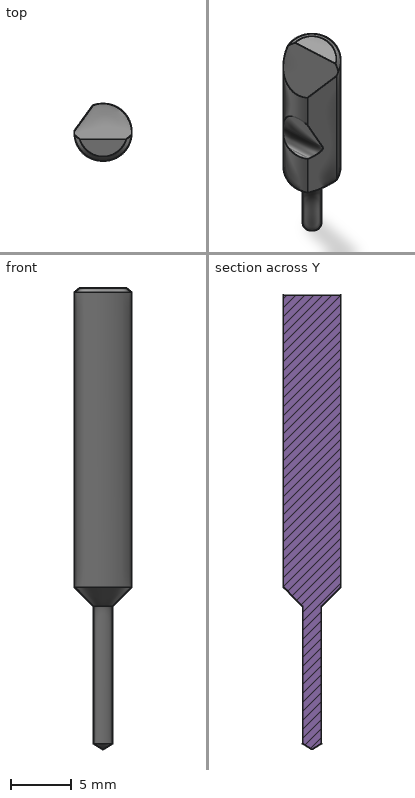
import cadquery as cq
import math

length = 38.1
shank_radius = 4.75 / 2
pin_radius = 1.6 / 2
tip_height = 0.5
shank_bottom = 13.4
cone_height = shank_radius - pin_radius
top_chamfer = 0.4

bevel_start_y = -0.57

flat_distance = 2.0
flat_angle = 144.0

notch_bottom = 21.15
notch_top = 29.85
notch_corner_radius = 1.03
ramp_angle = 9.6

clearance = 1.9
cutter_width = 2 * (shank_radius + clearance)


def turned_body():
    return (
        cq.Workplane("XZ")
        .moveTo(0, 0)
        .lineTo(pin_radius, tip_height)
        .lineTo(pin_radius, shank_bottom - cone_height)
        .lineTo(shank_radius, shank_bottom)
        .lineTo(shank_radius, length - top_chamfer)
        .lineTo(shank_radius - top_chamfer, length)
        .lineTo(0, length)
        .close()
        .revolve(360, (0, 0, 0), (0, 1, 0))
    )


def top_bevel():
    outer_y = shank_radius + clearance
    outer_z = length - (outer_y - bevel_start_y)
    return (
        cq.Workplane("YZ")
        .moveTo(bevel_start_y, length)
        .lineTo(outer_y, length)
        .lineTo(outer_y, outer_z)
        .close()
        .extrude(cutter_width / 2, both=True)
    )


def side_flat():
    return (
        cq.Workplane("XY")
        .box(clearance, cutter_width, length, centered=(False, True, False))
        .translate((flat_distance, 0, 0))
        .rotate((0, 0, 0), (0, 0, 1), flat_angle)
    )


def side_notch():
    ramp = math.radians(ramp_angle)
    radius = notch_corner_radius
    center_z = notch_bottom + radius
    tangent_z = center_z + radius * math.sin(ramp)
    tangent_y = shank_radius - (notch_top - tangent_z) * math.tan(ramp)
    center_y = tangent_y + radius * math.cos(ramp)
    middle_angle = (math.pi / 2 - ramp) / 2
    arc_middle = (
        center_y - radius * math.cos(middle_angle),
        center_z - radius * math.sin(middle_angle),
    )
    outer_y = shank_radius + clearance
    outer_z = notch_top + clearance / math.tan(ramp)
    return (
        cq.Workplane("YZ")
        .moveTo(outer_y, outer_z)
        .lineTo(tangent_y, tangent_z)
        .threePointArc(arc_middle, (center_y, notch_bottom))
        .lineTo(outer_y, notch_bottom)
        .close()
        .extrude(cutter_width / 2, both=True)
    )


result = turned_body().cut(top_bevel()).cut(side_flat()).cut(side_notch())